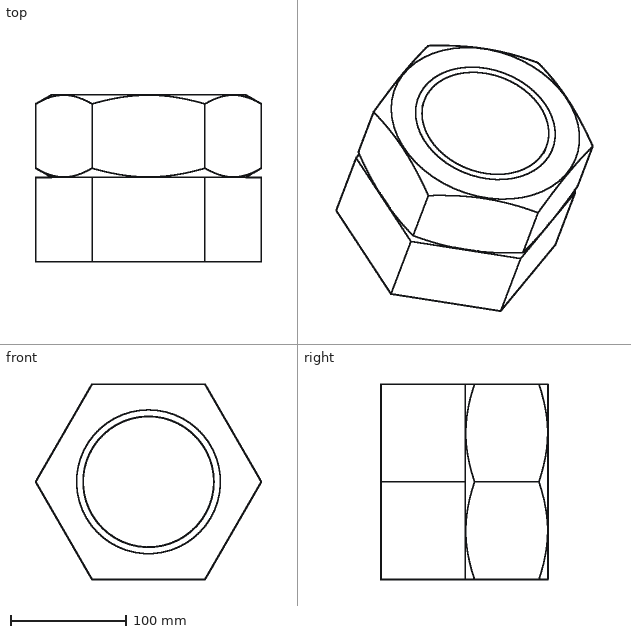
import cadquery as cq
import math

ACROSS_FLATS = 170.0
ACROSS_CORNERS = ACROSS_FLATS / math.cos(math.radians(30))

HEAD_LENGTH = 73.4
LOCK_NUT_LENGTH = 72.0

BORE_DIAMETER = 113.5
COUNTERSINK_DIAMETER = 125.0
COUNTERSINK_ANGLE = 120.0

SLEEVE_DIAMETER = 125.0

CHAMFER_ANGLE = 30.0
CHAMFER_FACE_DIAMETER = 168.5


def hexagon(front_y, length):
    """Hexagonal prism running from front_y towards +Y."""
    return cq.Workplane("XZ", origin=(0, front_y, 0)).polygon(6, ACROSS_CORNERS).extrude(-length)


def cylinder(front_y, length, diameter):
    """Cylinder on the Y axis running from front_y towards +Y."""
    return cq.Workplane("XZ", origin=(0, front_y, 0)).circle(diameter / 2).extrude(-length)


def countersink_cone(face_y):
    """Cone that opens the bore at face_y and narrows towards +Y."""
    radial_step = (COUNTERSINK_DIAMETER - BORE_DIAMETER) / 2
    depth = radial_step / math.tan(math.radians(COUNTERSINK_ANGLE / 2))
    return cq.Workplane(
        cq.Solid.makeCone(
            COUNTERSINK_DIAMETER / 2,
            BORE_DIAMETER / 2,
            depth,
            pnt=cq.Vector(0, face_y, 0),
            dir=cq.Vector(0, 1, 0),
        )
    )


def double_cone_envelope(front_y, length):
    """Turned blank whose conical ends chamfer the corners of a hexagon."""
    face_radius = CHAMFER_FACE_DIAMETER / 2
    corner_radius = ACROSS_CORNERS / 2
    chamfer_length = (corner_radius - face_radius) * math.tan(math.radians(CHAMFER_ANGLE))
    back_y = front_y + length
    return (
        cq.Workplane("XY")
        .moveTo(0, front_y)
        .lineTo(face_radius, front_y)
        .lineTo(corner_radius, front_y + chamfer_length)
        .lineTo(corner_radius, back_y - chamfer_length)
        .lineTo(face_radius, back_y)
        .lineTo(0, back_y)
        .close()
        .revolve(360, (0, 0, 0), (0, 1, 0))
    )


def make_hex_sleeve():
    """Plain hexagonal head with a rear sleeve, bored through and countersunk at the front."""
    head = hexagon(-HEAD_LENGTH, HEAD_LENGTH)
    sleeve = cylinder(0, LOCK_NUT_LENGTH, SLEEVE_DIAMETER)
    bore = cylinder(-HEAD_LENGTH, HEAD_LENGTH + LOCK_NUT_LENGTH, BORE_DIAMETER)
    return head.union(sleeve).cut(bore).cut(countersink_cone(-HEAD_LENGTH))


def make_lock_nut():
    """Hexagonal nut around the sleeve, with its corners chamfered at both ends."""
    blank = hexagon(0, LOCK_NUT_LENGTH).intersect(double_cone_envelope(0, LOCK_NUT_LENGTH))
    return blank.cut(cylinder(0, LOCK_NUT_LENGTH, SLEEVE_DIAMETER))


hex_sleeve = make_hex_sleeve()
lock_nut = make_lock_nut()

result = cq.Compound.makeCompound([hex_sleeve.val(), lock_nut.val()])